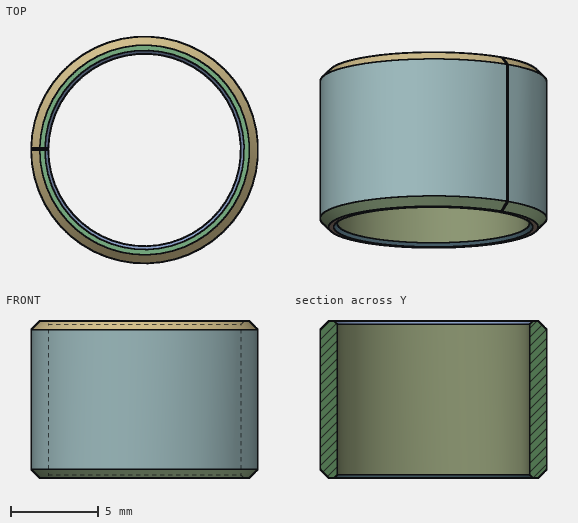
import cadquery as cq

outer_radius = 6.5
wall_thickness = 1.0
length = 9.0
outer_chamfer = 0.5
inner_chamfer = 0.2
slit_width = 0.1
slit_start_y = 0.0

inner_radius = outer_radius - wall_thickness
half_length = length / 2


def make_sleeve():
    """Revolve the chamfered wall section around Z, centred on the origin."""
    section = [
        (inner_radius, -half_length + inner_chamfer),
        (inner_radius + inner_chamfer, -half_length),
        (outer_radius - outer_chamfer, -half_length),
        (outer_radius, -half_length + outer_chamfer),
        (outer_radius, half_length - outer_chamfer),
        (outer_radius - outer_chamfer, half_length),
        (inner_radius + inner_chamfer, half_length),
        (inner_radius, half_length - inner_chamfer),
    ]
    sleeve = cq.Workplane("XZ").polyline(section).close().revolve(360, (0, 0), (0, 1))
    return sleeve.rotate((0, 0, 0), (0, 0, 1), 180)


def make_slit():
    """Thin full-length cutter reaching from the axis out past the -X wall."""
    reach = 2 * outer_radius
    return (
        cq.Workplane("XY")
        .box(reach, slit_width, 2 * length, centered=(False, False, True))
        .translate((-reach, slit_start_y, 0))
    )


result = make_sleeve().cut(make_slit())